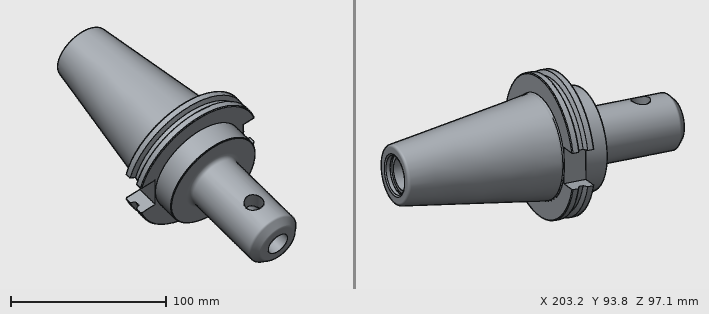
import cadquery as cq
import math

TAPER_LENGTH = 101.6
TAIL_X = -TAPER_LENGTH
FLANGE_START = 3.175
FLANGE_WIDTH = 15.875
BOSS_END = 35.0
TIP_END = 101.62

GAUGE_DIAMETER = 69.85
COLLAR_DIAMETER = 70.2
FLANGE_DIAMETER = 97.14
SHANK_DIAMETER = 38.1
TAPER_RATE = 7 / 24
TAPER_END = (COLLAR_DIAMETER - GAUGE_DIAMETER) / TAPER_RATE

TAIL_ROUND = 2.0
COLLAR_ROOT_RADIUS = 0.8
FLANGE_CHAMFER = 0.6
BOSS_CHAMFER = 0.5
SHANK_ROOT_RADIUS = 3.0
NOSE_CHAMFER = 5.0
NOSE_ANGLE = 45.0
NOSE_BLEND_RADIUS = 2.0

GROOVE_CENTER = 11.1
GROOVE_DEPTH = 3.0
GROOVE_FLOOR_WIDTH = 3.1
GROOVE_HALF_ANGLE = 30.0

SLOT_WIDTH = 25.3
SLOT_FLOOR_FRONT = 35.2
SLOT_FLOOR_BACK = 37.5

BORE_DIAMETER = 15.88
THREAD_DIAMETER = 21.97
THREAD_DEPTH = 60.0
PILOT_DIAMETER = 26.2
PILOT_DEPTH = 5.0
UNDERCUT_DIAMETER = 26.7
UNDERCUT_WIDTH = 1.3
PILOT_MOUTH_DIAMETER = 28.6
MOUTH_HALF_ANGLE = 60.0
DRILL_HALF_ANGLE = 59.0

SCREW_DIAMETER = 12.75
SCREW_X = 77.0


def revolve_about_x(profile):
    """Revolve a closed (x, radius) profile in the XY plane about the X axis."""
    return profile.close().revolve(360, (0, 0, 0), (1, 0, 0))


def cylinder(start, end, diameter):
    return cq.Workplane("YZ", origin=(start, 0, 0)).circle(diameter / 2).extrude(end - start)


def make_taper():
    tail_diameter = GAUGE_DIAMETER - TAPER_RATE * TAPER_LENGTH
    collar_radius = COLLAR_DIAMETER / 2
    taper = revolve_about_x(
        cq.Workplane("XY")
        .moveTo(TAIL_X, 0)
        .lineTo(TAIL_X, tail_diameter / 2)
        .lineTo(TAPER_END, collar_radius)
        .lineTo(FLANGE_START - COLLAR_ROOT_RADIUS, collar_radius)
        .radiusArc((FLANGE_START, collar_radius + COLLAR_ROOT_RADIUS), -COLLAR_ROOT_RADIUS)
        .lineTo(FLANGE_START, 0)
    )
    return taper.faces("<X").edges().fillet(TAIL_ROUND)


def make_groove():
    outer_radius = FLANGE_DIAMETER / 2
    floor_radius = outer_radius - GROOVE_DEPTH
    floor_half = GROOVE_FLOOR_WIDTH / 2
    mouth_half = floor_half + GROOVE_DEPTH * math.tan(math.radians(GROOVE_HALF_ANGLE))
    return revolve_about_x(
        cq.Workplane("XY")
        .moveTo(GROOVE_CENTER - mouth_half, outer_radius)
        .lineTo(GROOVE_CENTER - floor_half, floor_radius)
        .lineTo(GROOVE_CENTER + floor_half, floor_radius)
        .lineTo(GROOVE_CENTER + mouth_half, outer_radius)
    )


def make_slot(side, floor_distance):
    """Drive slot on one side of the flange; side is -1 for -Y and +1 for +Y."""
    depth = FLANGE_DIAMETER / 2 - floor_distance
    return cq.Workplane("XY").box(FLANGE_WIDTH, depth, SLOT_WIDTH).translate(
        (FLANGE_START + FLANGE_WIDTH / 2, side * (floor_distance + depth / 2), 0)
    )


def make_flange():
    flange = cylinder(FLANGE_START, FLANGE_START + FLANGE_WIDTH, FLANGE_DIAMETER)
    flange = flange.edges().chamfer(FLANGE_CHAMFER)
    flange = flange.cut(make_groove())
    flange = flange.cut(make_slot(-1, SLOT_FLOOR_FRONT))
    return flange.cut(make_slot(1, SLOT_FLOOR_BACK))


def make_boss():
    boss = cylinder(FLANGE_START, BOSS_END, GAUGE_DIAMETER)
    return boss.faces(">X").edges().chamfer(BOSS_CHAMFER)


def make_shank():
    shank_radius = SHANK_DIAMETER / 2
    nose_radius = shank_radius - NOSE_CHAMFER
    shoulder_x = TIP_END - NOSE_CHAMFER
    tangent = NOSE_BLEND_RADIUS * math.tan(math.radians(NOSE_ANGLE / 2))
    diagonal = tangent * math.cos(math.radians(NOSE_ANGLE))
    return revolve_about_x(
        cq.Workplane("XY")
        .moveTo(FLANGE_START, 0)
        .lineTo(FLANGE_START, shank_radius + SHANK_ROOT_RADIUS)
        .lineTo(BOSS_END, shank_radius + SHANK_ROOT_RADIUS)
        .radiusArc((BOSS_END + SHANK_ROOT_RADIUS, shank_radius), -SHANK_ROOT_RADIUS)
        .lineTo(shoulder_x - tangent, shank_radius)
        .radiusArc((shoulder_x + diagonal, shank_radius - diagonal), NOSE_BLEND_RADIUS)
        .lineTo(TIP_END - diagonal, nose_radius + diagonal)
        .radiusArc((TIP_END, nose_radius - tangent), NOSE_BLEND_RADIUS)
        .lineTo(TIP_END, 0)
    )


def make_bore():
    bore_radius = BORE_DIAMETER / 2
    thread_radius = THREAD_DIAMETER / 2
    pilot_radius = PILOT_DIAMETER / 2
    pilot_end = TAIL_X + PILOT_DEPTH
    undercut_radius = UNDERCUT_DIAMETER / 2
    mouth_radius = PILOT_MOUTH_DIAMETER / 2
    mouth_depth = (mouth_radius - pilot_radius) / math.tan(math.radians(MOUTH_HALF_ANGLE))
    thread_end = TAIL_X + THREAD_DEPTH
    cone_length = (thread_radius - bore_radius) / math.tan(math.radians(DRILL_HALF_ANGLE))
    return revolve_about_x(
        cq.Workplane("XY")
        .moveTo(TAIL_X, 0)
        .lineTo(TAIL_X, mouth_radius)
        .lineTo(TAIL_X + mouth_depth, pilot_radius)
        .lineTo(pilot_end - UNDERCUT_WIDTH, pilot_radius)
        .lineTo(pilot_end - UNDERCUT_WIDTH, undercut_radius)
        .lineTo(pilot_end, undercut_radius)
        .lineTo(pilot_end, thread_radius)
        .lineTo(thread_end, thread_radius)
        .lineTo(thread_end + cone_length, bore_radius)
        .lineTo(TIP_END, bore_radius)
        .lineTo(TIP_END, 0)
    )


def make_screw_hole():
    """Radial hole from the top of the shank down into the bore."""
    return (
        cq.Workplane("XY", origin=(SCREW_X, 0, 0))
        .circle(SCREW_DIAMETER / 2)
        .extrude(SHANK_DIAMETER)
    )


body = make_taper().union(make_flange()).union(make_boss()).union(make_shank())
result = body.cut(make_bore()).cut(make_screw_hole())